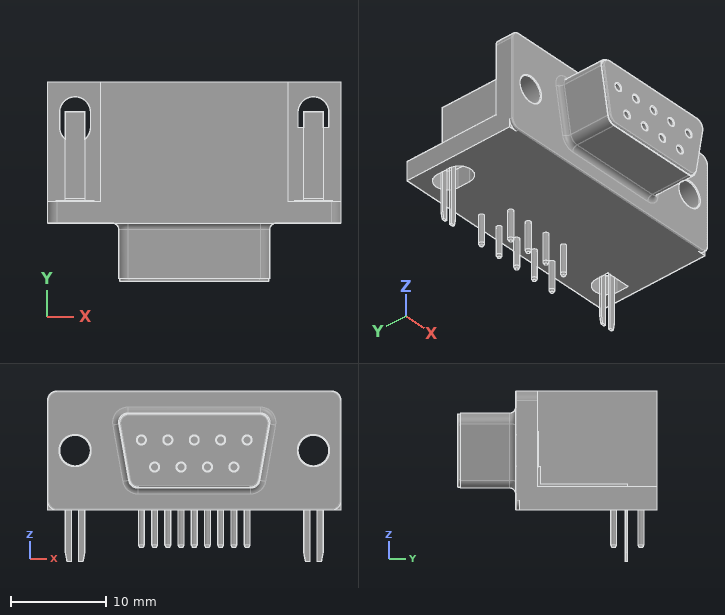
import cadquery as cq
import math


width = 30.8
height = 12.5
body_depth = 14.85
flange_depth = 2.3
block_width = 19.7
shelf_height = 2.5
corner_radius = 1.02
mid_height = height / 2

plate_thickness = 0.4
plate_edge_radius = 0.108

mount_spacing = 25.0
mount_diameter = 3.2
mount_chamfer = 0.1
disc_diameter = 4.0
disc_thickness = 0.1

shroud_length = 5.8
shroud_height = 7.9
shroud_top_width = 16.25
shroud_side_angle = 10.0
shroud_corner_radius = 1.0
shroud_root_radius = 0.62

insert_inset = 0.1
insert_protrusion = 0.3
insert_edge_radius = 0.108

socket_diameter = 0.85
socket_depth = 3.7
socket_chamfer = 0.1
socket_pitch = 2.77
upper_row_count = 5
lower_row_count = 4
upper_row_z = 7.35
lower_row_z = 4.53

pin_diameter = 0.65
pin_length = 3.9
pin_tip_height = 0.28
pin_tip_inset = 0.14
pin_embed = 0.3
rear_pin_inset = 1.7
pin_row_spacing = 2.85

slot_width = 3.2
slot_rear_inset = 1.57
slot_straight = 1.6
strip_width = 2.05
strip_thickness = 0.25
upright_top = 4.6
strip_standoff = 0.05
leg_rear_inset = 3.1
leg_length = 5.4
prong_gap = 0.7
prong_tip_height = 0.92
prong_tip_inset = 0.2

select_margin = 0.03

mount_x = mount_spacing / 2
insert_length = shroud_length + insert_protrusion


def box(x_min, x_max, y_min, y_max, z_min, z_max):
    """Box given by its limits along the three axes."""
    size = (x_max - x_min, y_max - y_min, z_max - z_min)
    return cq.Workplane("XY").box(*size, centered=False).translate((x_min, y_min, z_min))


def cylinder_y(diameter, x, z, y_min, y_max):
    """Cylinder along Y."""
    solid = cq.Solid.makeCylinder(diameter / 2, y_max - y_min, cq.Vector(x, y_min, z), cq.Vector(0, 1, 0))
    return cq.Workplane(obj=solid)


def hole_tool_y(diameter, chamfer, x, z, y_min, y_max):
    """Cutter for a hole along Y with a chamfered mouth at y_min."""
    mouth = cq.Solid.makeCone(
        diameter / 2 + chamfer, diameter / 2, chamfer, cq.Vector(x, y_min, z), cq.Vector(0, 1, 0)
    )
    return cylinder_y(diameter, x, z, y_min, y_max).union(cq.Workplane(obj=mouth))


def make_housing():
    """Flange with rounded top corners, central block and rear shelf."""
    half = width / 2
    flange = box(-half, half, plate_thickness, flange_depth, 0, height)
    flange = flange.edges("|Y and >Z").fillet(corner_radius)
    block = box(-block_width / 2, block_width / 2, plate_thickness, body_depth, 0, height)
    shelf = box(-half, half, plate_thickness, body_depth, 0, shelf_height)
    return flange.union(block).union(shelf)


def make_face_plate():
    """Front plate, rounded at all four corners and along its front rim."""
    plate = box(-width / 2, width / 2, 0, plate_thickness, 0, height)
    plate = plate.edges("|Y").fillet(corner_radius)
    return plate.faces("<Y").edges().fillet(plate_edge_radius)


def make_d_prism(inset, length):
    """D-shaped prism running forward from y = 0, its sides moved inward by inset from the shroud's."""
    slope = math.radians(shroud_side_angle)
    half_height = shroud_height / 2
    middle = shroud_top_width / 2 - half_height * math.tan(slope) - inset / math.cos(slope)
    z_half = half_height - inset
    top = middle + z_half * math.tan(slope)
    bottom = middle - z_half * math.tan(slope)
    points = [
        (-top, mid_height + z_half),
        (top, mid_height + z_half),
        (bottom, mid_height - z_half),
        (-bottom, mid_height - z_half),
    ]
    prism = cq.Workplane("XZ").polyline(points).close().extrude(length)
    return prism.edges("|Y").fillet(shroud_corner_radius)


def make_insert():
    """Contact insert with a rounded front rim."""
    insert = make_d_prism(insert_inset, insert_length)
    return insert.faces("<Y").edges().fillet(insert_edge_radius)


def row_positions(count, pitch):
    """Positions of count items centred on zero."""
    return [(i - (count - 1) / 2) * pitch for i in range(count)]


def make_pin(x, y):
    """Solder pin with a tapered tip, embedded a little way into the housing."""
    shank = pin_length - pin_tip_height
    radius = pin_diameter / 2
    down = cq.Vector(0, 0, -1)
    rod = cq.Solid.makeCylinder(radius, shank + pin_embed, cq.Vector(x, y, pin_embed), down)
    tip = cq.Solid.makeCone(radius, radius - pin_tip_inset, pin_tip_height, cq.Vector(x, y, -shank), down)
    return cq.Workplane(obj=rod).union(cq.Workplane(obj=tip))


def make_slot(x, round_front):
    """Cutter for a shelf slot: round at the rear, round or square at the front."""
    radius = slot_width / 2
    rear_center = body_depth - slot_rear_inset - radius
    front_center = rear_center - slot_straight
    slot = box(x - radius, x + radius, front_center, rear_center, 0, shelf_height)
    centers = [rear_center]
    if round_front:
        centers.append(front_center)
    for y in centers:
        slot = slot.union(cq.Workplane("XY").center(x, y).circle(radius).extrude(shelf_height))
    return slot


def make_bracket(x):
    """Disc, bent strip lying on the shelf, and forked leg through the slot."""
    half = strip_width / 2
    leg_rear = body_depth - leg_rear_inset
    upright_rear = flange_depth + strip_standoff + strip_thickness
    shelf_strip_top = shelf_height + strip_thickness
    disc = cylinder_y(disc_diameter, x, mid_height, flange_depth, flange_depth + disc_thickness)
    upright = box(x - half, x + half, flange_depth, upright_rear, shelf_height, upright_top)
    strip = box(x - half, x + half, flange_depth, leg_rear, shelf_height, shelf_strip_top)
    leg = (
        box(x - half, x + half, leg_rear - strip_thickness, leg_rear, -leg_length, shelf_strip_top)
        .faces("<Z").edges("|Y").chamfer(prong_tip_height, prong_tip_inset)
    )
    gap = box(x - prong_gap / 2, x + prong_gap / 2, flange_depth, leg_rear, -leg_length, shelf_height)
    return disc.union(upright).union(strip).union(leg.cut(gap))


result = make_housing().union(make_face_plate()).union(make_d_prism(0, shroud_length))

half_span = shroud_top_width / 2 + select_margin
half_rise = shroud_height / 2 + select_margin
root_edges = cq.selectors.BoxSelector(
    (-half_span, -select_margin, mid_height - half_rise),
    (half_span, select_margin, mid_height + half_rise),
    boundingbox=True,
)
result = result.edges(root_edges).fillet(shroud_root_radius)
result = result.union(make_insert())

result = result.cut(make_slot(-mount_x, True)).cut(make_slot(mount_x, False))

for x in (-mount_x, mount_x):
    result = result.union(make_bracket(x))
    hole_end = flange_depth + disc_thickness
    result = result.cut(hole_tool_y(mount_diameter, mount_chamfer, x, mid_height, 0, hole_end))

for count, z in ((upper_row_count, upper_row_z), (lower_row_count, lower_row_z)):
    for x in row_positions(count, socket_pitch):
        socket_end = socket_depth - insert_length
        result = result.cut(hole_tool_y(socket_diameter, socket_chamfer, x, z, -insert_length, socket_end))

rear_pin_y = body_depth - rear_pin_inset
front_pin_y = rear_pin_y - pin_row_spacing
for count, y in ((upper_row_count, rear_pin_y), (lower_row_count, front_pin_y)):
    for x in row_positions(count, socket_pitch):
        result = result.union(make_pin(x, y))